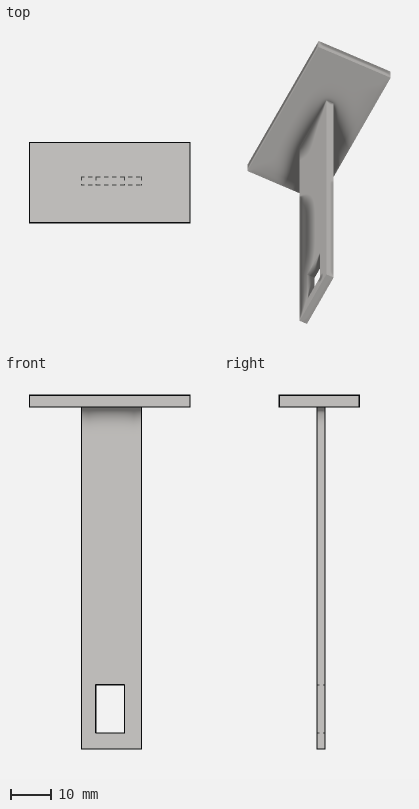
import cadquery as cq

total_height = 88.1
plate_length = 40.0
plate_width = 20.0
plate_thickness = 3.0

strap_width = 15.0
strap_thickness = 2.0
strap_height = total_height - plate_thickness
strap_offset_x = 0.4
strap_offset_y = 0.4

window_width = 7.05
window_height = 12.0
window_bottom = 4.05
window_offset_x = 0.1


def make_plate():
    """Flat rectangular head plate resting on top of the strap."""
    return (
        cq.Workplane("XY")
        .box(plate_length, plate_width, plate_thickness, centered=(True, True, False))
        .translate((0, 0, strap_height))
    )


def make_strap():
    """Upright flat strap with a rectangular window near its lower end."""
    strap = (
        cq.Workplane("XY")
        .box(strap_width, strap_thickness, strap_height, centered=(True, True, False))
        .translate((strap_offset_x, strap_offset_y, 0))
    )
    window = (
        cq.Workplane("XY")
        .box(window_width, 2 * strap_thickness, window_height, centered=(True, True, False))
        .translate((window_offset_x, strap_offset_y, window_bottom))
    )
    return strap.cut(window)


plate = make_plate()
strap = make_strap()

result = cq.Compound.makeCompound([plate.val(), strap.val()])